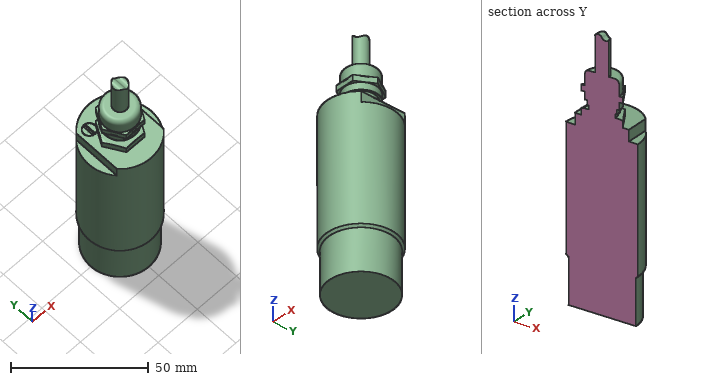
import cadquery as cq
import math

SLEEVE_TOP = 19.6
BODY_BOTTOM = 20.6
FLAT_BOTTOM = 74.6
BODY_TOP = 79.4
LOCKNUT_TOP = 82.5
NECK_TOP = 83.9
RING_TOP = 86.0
COLLAR_TOP = 89.2
CAP_HEX_TOP = 91.8
CAP_TOP = 98.5
CABLE_TOP = 114.5

BODY_DIA = 32.0
SLEEVE_DIA = 30.0
FLAT_OFFSET = 12.0

HEX_ACROSS_FLATS = 16.0
HEX_ACROSS_CORNERS = HEX_ACROSS_FLATS / math.cos(math.pi / 6)
HEX_CHAMFER_ANGLE = 15.0
NECK_DIA = 12.0
RING_DIA = 13.5
CAP_DIA = 15.5
CAP_ROUNDING = 2.0

CABLE_DIA = 6.4
BREAK_WAVE = 0.9

SCREW_X = -7.4
SCREW_Y = 8.4
SCREW_DIA = 5.5
SCREW_RECESS = 0.5
SLOT_WIDTH = 1.1
SLOT_DEPTH = 0.9


def cylinder(diameter, bottom, top):
    return cq.Workplane("XY").workplane(offset=bottom).circle(diameter / 2).extrude(top - bottom)


def hexagon(bottom, top):
    """Hexagonal prism with corners on the X axis."""
    plane = cq.Workplane("XY").workplane(offset=bottom)
    return plane.polygon(6, HEX_ACROSS_CORNERS).extrude(top - bottom)


def make_body():
    """Sleeve and body joined by a cone, with two wrench flats at the top."""
    profile = [
        (0, 0),
        (SLEEVE_DIA / 2, 0),
        (SLEEVE_DIA / 2, SLEEVE_TOP),
        (BODY_DIA / 2, BODY_BOTTOM),
        (BODY_DIA / 2, BODY_TOP),
        (0, BODY_TOP),
    ]
    body = cq.Workplane("XZ").polyline(profile).close().revolve(360, (0, 0, 0), (0, 1, 0))
    cut_width = BODY_DIA / 2 - FLAT_OFFSET
    cut_height = BODY_TOP - FLAT_BOTTOM
    flat = cq.Workplane("XY").box(cut_width, BODY_DIA, cut_height, centered=(True, True, False))
    for side in (-1, 1):
        body = body.cut(flat.translate((side * (FLAT_OFFSET + cut_width / 2), 0, FLAT_BOTTOM)))
    return body


def make_locknut():
    """Hexagon nut whose top corners are trimmed by a cone."""
    corner_radius = HEX_ACROSS_CORNERS / 2
    top_radius = HEX_ACROSS_FLATS / 2
    drop = (corner_radius - top_radius) * math.tan(math.radians(HEX_CHAMFER_ANGLE))
    envelope = [
        (0, BODY_TOP),
        (corner_radius, BODY_TOP),
        (corner_radius, LOCKNUT_TOP - drop),
        (top_radius, LOCKNUT_TOP),
        (0, LOCKNUT_TOP),
    ]
    turned = cq.Workplane("XZ").polyline(envelope).close().revolve(360, (0, 0, 0), (0, 1, 0))
    return hexagon(BODY_TOP, LOCKNUT_TOP).intersect(turned)


def make_gland():
    cap = cylinder(CAP_DIA, CAP_HEX_TOP, CAP_TOP).faces(">Z").edges().fillet(CAP_ROUNDING)
    return (
        make_locknut()
        .union(cylinder(NECK_DIA, LOCKNUT_TOP, NECK_TOP))
        .union(cylinder(RING_DIA, NECK_TOP, RING_TOP))
        .union(cylinder(CAP_DIA, RING_TOP, COLLAR_TOP))
        .union(hexagon(COLLAR_TOP, CAP_HEX_TOP))
        .union(cap)
    )


def make_cable():
    """Cable ending in a crest on the -X half and a trough on the +X half."""
    radius = CABLE_DIA / 2
    break_level = CABLE_TOP - BREAK_WAVE
    outline = (
        cq.Workplane("XZ")
        .moveTo(-radius, CAP_TOP)
        .lineTo(-radius, break_level)
        .threePointArc((-radius / 2, CABLE_TOP), (0, break_level))
        .threePointArc((radius / 2, break_level - BREAK_WAVE), (radius, break_level))
        .lineTo(radius, CAP_TOP)
        .close()
        .extrude(radius, both=True)
    )
    return cylinder(CABLE_DIA, CAP_TOP, CABLE_TOP).intersect(outline)


def make_screw_recess():
    """Round recess down to the screw head, with the driver slot across it along Y."""
    floor = BODY_TOP - SCREW_RECESS
    recess = cylinder(SCREW_DIA, floor, BODY_TOP)
    slot_floor = floor - SLOT_DEPTH
    slot_bar = cq.Workplane("XY").box(SLOT_WIDTH, SCREW_DIA, SLOT_DEPTH, centered=(True, True, False))
    slot = cylinder(SCREW_DIA, slot_floor, floor).intersect(slot_bar.translate((0, 0, slot_floor)))
    return recess.union(slot).translate((SCREW_X, SCREW_Y, 0))


result = make_body().cut(make_screw_recess()).union(make_gland()).union(make_cable())